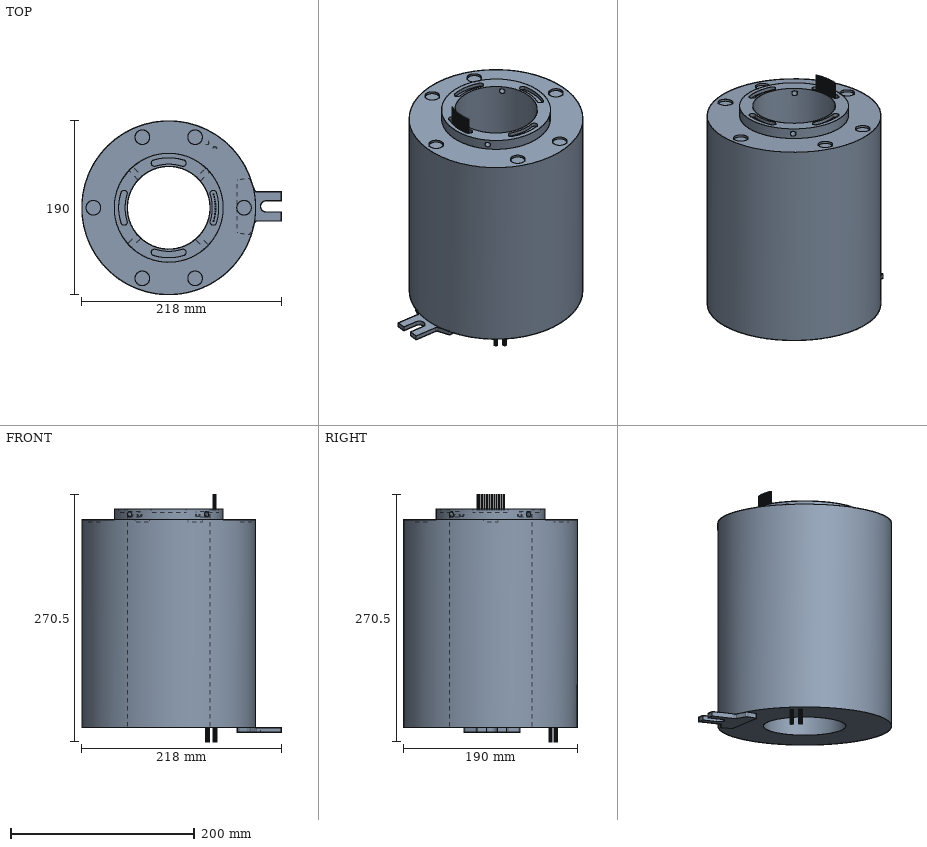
import cadquery as cq
import math

body_diameter = 190.0
body_height = 227.0
hub_diameter = 119.0
hub_height = 11.5
bore_diameter = 90.0
lead_length = 16.0

total_height = 2 * lead_length + body_height + hub_height
body_bottom = lead_length
body_top = body_bottom + body_height
hub_top = body_top + hub_height

pocket_diameter = 16.0
pocket_depth = 2.5
pocket_circle_radius = 82.2
pocket_side_angle = 69.5
pocket_angles = (
    0,
    pocket_side_angle,
    180 - pocket_side_angle,
    180,
    180 + pocket_side_angle,
    360 - pocket_side_angle,
)

slot_count = 4
slot_circle_radius = 51.0
slot_width = 7.0
slot_end_angle = 17.7
slot_depth = 4.0

screw_hole_count = 4
screw_hole_diameter = 6.0
screw_hole_start_angle = 44.0
screw_hole_height = body_top + hub_height / 2

lead_diameter = 1.0
upper_lead_count = 12
upper_lead_step = 3.0
lower_bundle_count = 6
lower_bundle_radius = 1.5
lower_bundle_circle_radius = 82.5
lower_bundle_angles = (52.4, 59.2)

plate_thickness = 5.1
plate_center_y = 1.5
plate_inner_x = 74.7
plate_inner_width = 57.5
plate_shoulder_x = 88.2
plate_shoulder_width = 62.0
plate_fillet_radius = 2.2
fork_root_x = 94.7
fork_end_x = 123.0
fork_width = 32.2
fork_slot_width = 12.0
fork_slot_bottom_x = 100.4


def cylinder(diameter, bottom, top):
    return cq.Workplane("XY").workplane(offset=bottom).circle(diameter / 2).extrude(top - bottom)


def polar(radius, angle):
    radians = math.radians(angle)
    return (radius * math.cos(radians), radius * math.sin(radians))


def curved_slot(middle_angle):
    """Arc slot with round ends, cut down from the hub top."""
    inner_radius = slot_circle_radius - slot_width / 2
    outer_radius = slot_circle_radius + slot_width / 2
    start = middle_angle - slot_end_angle
    end = middle_angle + slot_end_angle
    end_cap_angle = math.degrees(slot_width / 2 / slot_circle_radius)
    return (
        cq.Workplane("XY")
        .workplane(offset=hub_top - slot_depth)
        .moveTo(*polar(inner_radius, start))
        .threePointArc(polar(inner_radius, middle_angle), polar(inner_radius, end))
        .threePointArc(polar(slot_circle_radius, end + end_cap_angle), polar(outer_radius, end))
        .threePointArc(polar(outer_radius, middle_angle), polar(outer_radius, start))
        .threePointArc(polar(slot_circle_radius, start - end_cap_angle), polar(inner_radius, start))
        .close()
        .extrude(slot_depth)
    )


def screw_hole(angle):
    return (
        cq.Workplane("YZ")
        .center(0, screw_hole_height)
        .circle(screw_hole_diameter / 2)
        .extrude(hub_diameter / 2)
        .rotate((0, 0, 0), (0, 0, 1), angle)
    )


def fork_plate():
    """Flared plate that narrows to an arm with a round-bottomed slot in its end."""
    half_outline = [
        (plate_inner_x, plate_inner_width / 2),
        (plate_shoulder_x, plate_shoulder_width / 2),
        (fork_root_x, fork_width / 2),
        (fork_end_x, fork_width / 2),
    ]
    mirrored_half = [(x, -y) for x, y in reversed(half_outline)]
    plate = (
        cq.Workplane("XY")
        .polyline(half_outline + mirrored_half)
        .close()
        .extrude(plate_thickness)
        .edges("|Z and (not >X)")
        .fillet(plate_fillet_radius)
    )
    slot_length = 2 * (fork_end_x - fork_slot_bottom_x)
    slot = (
        cq.Workplane("XY")
        .center(fork_end_x, 0)
        .slot2D(slot_length, fork_slot_width)
        .extrude(plate_thickness)
    )
    return plate.cut(slot).translate((0, plate_center_y, body_bottom - plate_thickness))


def upper_leads():
    """Row of wires standing in the +X slot."""
    middle = (upper_lead_count - 1) / 2
    points = [
        polar(slot_circle_radius, (i - middle) * upper_lead_step)
        for i in range(upper_lead_count)
    ]
    bottom = hub_top - slot_depth
    return (
        cq.Workplane("XY")
        .workplane(offset=bottom)
        .pushPoints(points)
        .circle(lead_diameter / 2)
        .extrude(total_height - bottom)
    )


def lower_bundle(angle):
    """Ring of wires hanging from the bottom of the body."""
    return (
        cq.Workplane("XY")
        .center(*polar(lower_bundle_circle_radius, angle))
        .polarArray(lower_bundle_radius, 0, 360, lower_bundle_count)
        .circle(lead_diameter / 2)
        .extrude(body_bottom)
    )


body = cylinder(body_diameter, body_bottom, body_top)
body = body.union(cylinder(hub_diameter, body_top, hub_top))
body = body.cut(cylinder(bore_diameter, body_bottom, hub_top))

for angle in pocket_angles:
    x, y = polar(pocket_circle_radius, angle)
    body = body.cut(cylinder(pocket_diameter, body_top - pocket_depth, body_top).translate((x, y, 0)))

for i in range(slot_count):
    body = body.cut(curved_slot(i * 360 / slot_count))

for i in range(screw_hole_count):
    body = body.cut(screw_hole(screw_hole_start_angle + i * 360 / screw_hole_count))

body = body.union(fork_plate())
body = body.union(upper_leads())
for angle in lower_bundle_angles:
    body = body.union(lower_bundle(angle))

result = body